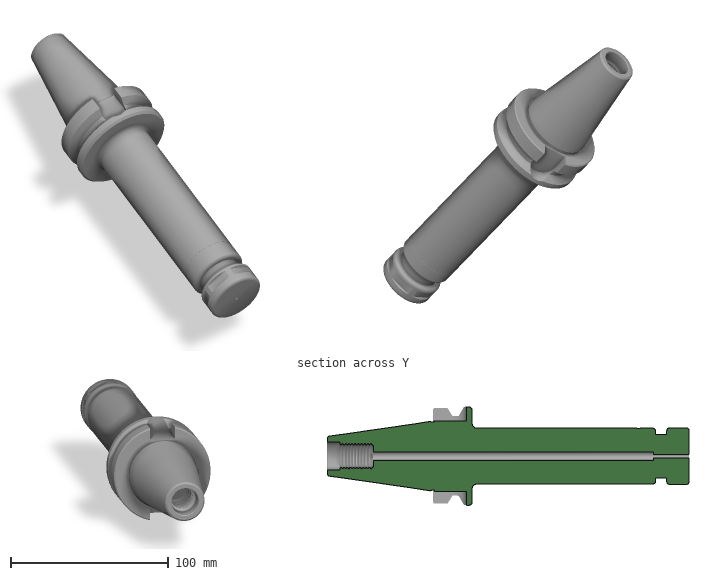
import cadquery as cq
import math

LENGTH = 230.5
GAUGE_X = 65.5
FLANGE_X = 67.5
FLANGE_END_X = 92.5
SHANK_END_X = 209.2
NUT_X = 216.0

TAPER_RATIO = 7 / 24
GAUGE_RADIUS = 44.5 / 2
TIP_RADIUS = GAUGE_RADIUS - GAUGE_X * TAPER_RATIO / 2
TIP_CHAMFER = 1.0
RELIEF_RADIUS = 22.0
RELIEF_STEP = 1.2
RECESS_RADIUS = 23.7
RECESS_DEPTH = 0.5

FLANGE_RADIUS = 63.0 / 2
FLANGE_CHAMFER = 0.7
FLANGE_REAR_CHAMFER = 1.4
GROOVE_START_X = 76.7
GROOVE_END_X = 87.0
GROOVE_RADIUS = 26.5
GROOVE_SLANT = 3.2
SLOT_WIDTH = 16.1
SLOT_END_X = 88.5
SLOT_FLOOR = 22.5

SHANK_RADIUS = 18.0
ROOT_FILLET = 2.8
SHANK_END_FILLET = 2.3
BAND_X = 197.0
BAND_WIDTH = 2.0
BAND_DEPTH = 0.12
NECK_RADIUS = 14.0

NUT_RADIUS = 18.2
NUT_FILLET = 2.0
POCKET_COUNT = 6
POCKET_X = 221.9
POCKET_FLOOR_WIDTH = 5.3
POCKET_OPENING_WIDTH = 6.5
POCKET_FLOOR = 16.5

ENTRY_RADIUS = 9.2
COUNTERBORE_RADIUS = 8.8
COUNTERBORE_DEPTH = 7.8
THREAD_MAJOR_RADIUS = 16.0 / 2
THREAD_MINOR_RADIUS = 14.0 / 2
THREAD_CREST = 0.5
THREAD_PITCH = 2.0
THREAD_TURNS = 10
BORE_FLOOR_RADIUS = 6.5
COOLANT_RADIUS = 2.5
COOLANT_END_X = 207.4
OUTLET_RADIUS = 2.0 / 2


def make_body():
    """Revolve the outer profile about the X axis."""
    diagonal = math.sqrt(0.5)
    root_dip = ROOT_FILLET * (1 - diagonal)
    shank_dip = SHANK_END_FILLET * (1 - diagonal)
    nut_dip = NUT_FILLET * (1 - diagonal)
    recess_x = FLANGE_X + RECESS_DEPTH
    profile = (
        cq.Workplane("XY")
        .moveTo(0, 0)
        .lineTo(0, TIP_RADIUS - TIP_CHAMFER)
        .lineTo(TIP_CHAMFER, TIP_RADIUS + TIP_CHAMFER * TAPER_RATIO / 2)
        .lineTo(GAUGE_X, GAUGE_RADIUS)
        .lineTo(GAUGE_X + RELIEF_STEP, RELIEF_RADIUS)
        .lineTo(recess_x, RELIEF_RADIUS)
        .lineTo(recess_x, RECESS_RADIUS)
        .lineTo(FLANGE_X, RECESS_RADIUS)
        .lineTo(FLANGE_X, FLANGE_RADIUS - FLANGE_CHAMFER)
        .lineTo(FLANGE_X + FLANGE_CHAMFER, FLANGE_RADIUS)
        .lineTo(GROOVE_START_X, FLANGE_RADIUS)
        .lineTo(GROOVE_START_X + GROOVE_SLANT, GROOVE_RADIUS)
        .lineTo(GROOVE_END_X - GROOVE_SLANT, GROOVE_RADIUS)
        .lineTo(GROOVE_END_X, FLANGE_RADIUS)
        .lineTo(FLANGE_END_X - FLANGE_REAR_CHAMFER, FLANGE_RADIUS)
        .lineTo(FLANGE_END_X, FLANGE_RADIUS - FLANGE_REAR_CHAMFER)
        .lineTo(FLANGE_END_X, SHANK_RADIUS + ROOT_FILLET)
        .threePointArc(
            (FLANGE_END_X + root_dip, SHANK_RADIUS + root_dip),
            (FLANGE_END_X + ROOT_FILLET, SHANK_RADIUS),
        )
        .lineTo(BAND_X, SHANK_RADIUS)
        .lineTo(BAND_X, SHANK_RADIUS - BAND_DEPTH)
        .lineTo(BAND_X + BAND_WIDTH, SHANK_RADIUS - BAND_DEPTH)
        .lineTo(BAND_X + BAND_WIDTH, SHANK_RADIUS)
        .lineTo(SHANK_END_X - SHANK_END_FILLET, SHANK_RADIUS)
        .threePointArc(
            (SHANK_END_X - shank_dip, SHANK_RADIUS - shank_dip),
            (SHANK_END_X, SHANK_RADIUS - SHANK_END_FILLET),
        )
        .lineTo(SHANK_END_X, NECK_RADIUS)
        .lineTo(NUT_X, NECK_RADIUS)
        .lineTo(NUT_X, NUT_RADIUS - NUT_FILLET)
        .threePointArc(
            (NUT_X + nut_dip, NUT_RADIUS - nut_dip),
            (NUT_X + NUT_FILLET, NUT_RADIUS),
        )
        .lineTo(LENGTH - NUT_FILLET, NUT_RADIUS)
        .threePointArc(
            (LENGTH - nut_dip, NUT_RADIUS - nut_dip),
            (LENGTH, NUT_RADIUS - NUT_FILLET),
        )
        .lineTo(LENGTH, 0)
        .close()
    )
    return profile.revolve(360, (0, 0, 0), (1, 0, 0))


def make_bore():
    """Rear bore: chamfered counterbore, ring-grooved thread and coolant hole."""
    profile = (
        cq.Workplane("XY")
        .moveTo(0, 0)
        .lineTo(0, ENTRY_RADIUS)
        .lineTo(ENTRY_RADIUS - COUNTERBORE_RADIUS, COUNTERBORE_RADIUS)
        .lineTo(COUNTERBORE_DEPTH, COUNTERBORE_RADIUS)
        .lineTo(COUNTERBORE_DEPTH, THREAD_MAJOR_RADIUS)
    )
    flank = (THREAD_PITCH - THREAD_CREST) / 2
    for turn in range(THREAD_TURNS):
        root_x = COUNTERBORE_DEPTH + turn * THREAD_PITCH
        profile = (
            profile
            .lineTo(root_x + flank, THREAD_MINOR_RADIUS)
            .lineTo(root_x + flank + THREAD_CREST, THREAD_MINOR_RADIUS)
            .lineTo(root_x + THREAD_PITCH, THREAD_MAJOR_RADIUS)
        )
    thread_end_x = COUNTERBORE_DEPTH + THREAD_TURNS * THREAD_PITCH
    floor_x = thread_end_x + THREAD_MAJOR_RADIUS - BORE_FLOOR_RADIUS
    profile = (
        profile
        .lineTo(floor_x, BORE_FLOOR_RADIUS)
        .lineTo(floor_x, COOLANT_RADIUS)
        .lineTo(COOLANT_END_X, COOLANT_RADIUS)
        .lineTo(COOLANT_END_X, OUTLET_RADIUS)
        .lineTo(LENGTH, OUTLET_RADIUS)
        .lineTo(LENGTH, 0)
        .close()
    )
    return profile.revolve(360, (0, 0, 0), (1, 0, 0))


def make_drive_slot():
    """Round-ended drive slot cut into the +Z side of the flange."""
    round_x = SLOT_END_X - SLOT_WIDTH / 2
    return (
        cq.Workplane("XY", origin=(0, 0, SLOT_FLOOR))
        .moveTo(GAUGE_X, -SLOT_WIDTH / 2)
        .lineTo(round_x, -SLOT_WIDTH / 2)
        .threePointArc((SLOT_END_X, 0), (round_x, SLOT_WIDTH / 2))
        .lineTo(GAUGE_X, SLOT_WIDTH / 2)
        .close()
        .extrude(FLANGE_RADIUS)
    )


def make_wrench_pocket():
    """Flat-bottomed wrench pocket with flared walls, cut into the -Y side of the nut."""
    half_floor = POCKET_FLOOR_WIDTH / 2
    half_opening = POCKET_OPENING_WIDTH / 2
    return (
        cq.Workplane("XY")
        .moveTo(POCKET_X - half_floor, -POCKET_FLOOR)
        .lineTo(POCKET_X + half_floor, -POCKET_FLOOR)
        .lineTo(POCKET_X + half_opening, -NUT_RADIUS)
        .lineTo(POCKET_X - half_opening, -NUT_RADIUS)
        .close()
        .extrude(NUT_RADIUS, both=True)
    )


axis_start = (0, 0, 0)
axis_end = (1, 0, 0)

result = make_body().cut(make_bore())
for angle in (0, 180):
    result = result.cut(make_drive_slot().rotate(axis_start, axis_end, angle))
for index in range(POCKET_COUNT):
    angle = index * 360 / POCKET_COUNT
    result = result.cut(make_wrench_pocket().rotate(axis_start, axis_end, angle))